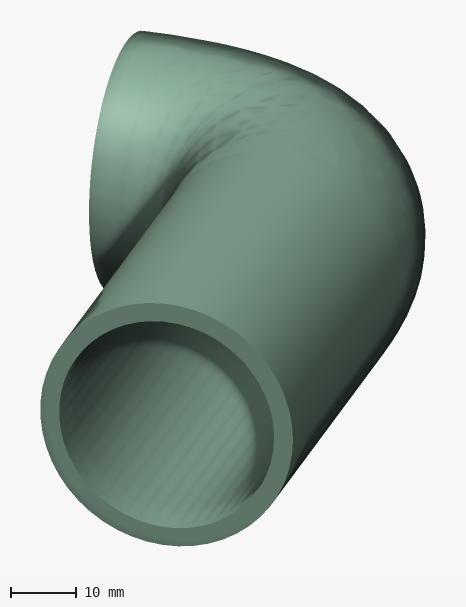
import cadquery as cq

outer_diameter = 40.0
bore_diameter = 34.0
total_length = 113.0
total_width = 54.1
straight_length = 59.8

bend_run = total_width - outer_diameter / 2
bend_rise = total_length - straight_length - outer_diameter / 2


def straight_rod(diameter):
    return cq.Workplane("XZ").circle(diameter / 2).extrude(-straight_length)


def bent_rod(diameter):
    """Solid rod curving smoothly from +Y to -X beyond the straight pipe."""
    centreline = (
        cq.Workplane("XY")
        .moveTo(0, straight_length)
        .spline(
            [(-bend_run, straight_length + bend_rise)],
            tangents=[(0, 1), (-1, 0)],
            includeCurrent=True,
        )
    )
    profile = cq.Workplane("XZ", origin=(0, straight_length, 0)).circle(diameter / 2)
    return profile.sweep(centreline)


def elbow_rod(diameter):
    return straight_rod(diameter).union(bent_rod(diameter))


result = elbow_rod(outer_diameter).cut(elbow_rod(bore_diameter))